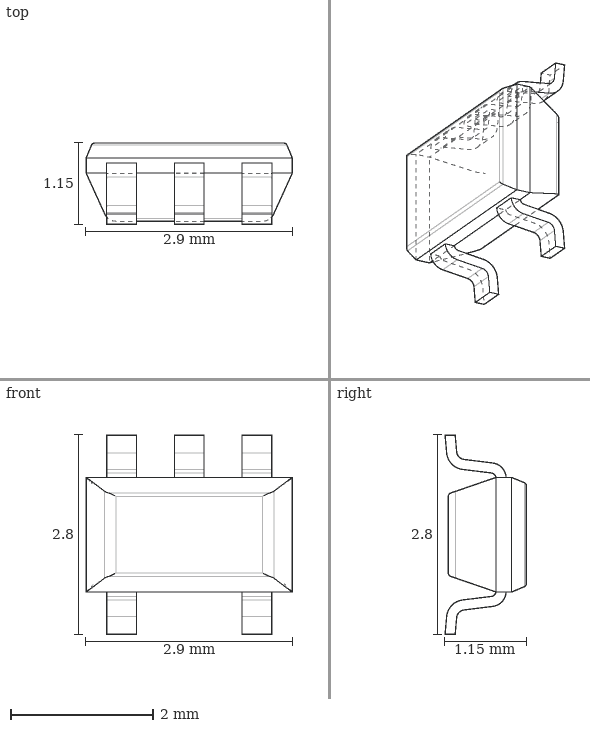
import cadquery as cq
import math


BODY_WIDTH = 2.9
BODY_HEIGHT = 1.615
OVERALL_DEPTH = 1.146
STANDOFF = 0.045
BELT_FRONT = 0.72
BELT_BACK = 0.935
FRONT_SIDE_DRAFT = 24.5
FRONT_END_DRAFT = 19.0
BACK_DRAFT = 22.5
FRONT_SIDE_ROUND = 0.18
FRONT_END_ROUND = 0.055
BACK_ROUND = 0.05

LEAD_SPAN = 2.8
LEAD_WIDTH = 0.42
LEAD_PITCH = 0.95
LEAD_THICKNESS = 0.145
FOOT_LENGTH = 0.25
FOOT_SLOPE = 5.0
ARM_LENGTH = 0.405
ARM_SLOPE = 7.0
FOOT_BEND_RADIUS = 0.115
ROOT_BEND_RADIUS = 0.075
LEAD_EMBED = 0.1

UPPER_LEAD_COLUMNS = (-1, 0, 1)
LOWER_LEAD_COLUMNS = (-1, 1)


def body_prism(plane, belt_size, front_draft, front_round, length):
    """Draw one drafted cross-section of the body and extrude it both ways.

    The first axis of the plane runs across the body, the second along +Y.
    """
    half_belt = belt_size / 2
    half_front = half_belt - (BELT_FRONT - STANDOFF) * math.tan(math.radians(front_draft))
    half_back = half_belt - (OVERALL_DEPTH - BELT_BACK) * math.tan(math.radians(BACK_DRAFT))
    lengthwise = cq.selectors.ParallelDirSelector(plane.zDir)
    right_side = [
        (half_front, STANDOFF),
        (half_belt, BELT_FRONT),
        (half_belt, BELT_BACK),
        (half_back, OVERALL_DEPTH),
    ]
    left_side = [(-across, y) for across, y in reversed(right_side)]
    prism = cq.Workplane(plane).polyline(right_side + left_side).close().extrude(length / 2, both=True)
    prism = prism.faces("<Y").edges(lengthwise).fillet(front_round)
    return prism.faces(">Y").edges(lengthwise).fillet(BACK_ROUND)


def make_body():
    """The body is what the X-Y and Z-Y prisms share, so its rounds meet in mitres."""
    side_plane = cq.Plane(origin=(0, 0, 0), xDir=(1, 0, 0), normal=(0, 0, 1))
    end_plane = cq.Plane(origin=(0, 0, 0), xDir=(0, 0, 1), normal=(-1, 0, 0))
    side_prism = body_prism(side_plane, BODY_WIDTH, FRONT_SIDE_DRAFT, FRONT_SIDE_ROUND, BODY_HEIGHT)
    end_prism = body_prism(end_plane, BODY_HEIGHT, FRONT_END_DRAFT, FRONT_END_ROUND, BODY_WIDTH)
    return side_prism.intersect(end_prism)


def shifted(point, distance, degrees):
    """Move a (Y, Z) point along a direction measured from +Y towards +Z."""
    angle = math.radians(degrees)
    return (point[0] + distance * math.cos(angle), point[1] + distance * math.sin(angle))


def make_upper_lead(x_center):
    """Gull-wing lead: foot, foot bend, sloping arm, root bend, buried root."""
    foot_outer = FOOT_BEND_RADIUS + LEAD_THICKNESS
    root_outer = ROOT_BEND_RADIUS + LEAD_THICKNESS

    foot_inward = FOOT_SLOPE - 90
    foot_to_outside = 180 + FOOT_SLOPE
    arm_inward = -ARM_SLOPE
    arm_down = 270 - ARM_SLOPE
    arm_up = 90 - ARM_SLOPE
    root_to_back = 0
    foot_bend_middle = (foot_to_outside + arm_down) / 2
    root_bend_middle = (arm_up + root_to_back) / 2

    tip_outside = (0, LEAD_SPAN / 2)
    tip_inside = (LEAD_THICKNESS / math.cos(math.radians(FOOT_SLOPE)), LEAD_SPAN / 2)
    foot_end = shifted(tip_outside, FOOT_LENGTH, foot_inward)
    foot_center = shifted(foot_end, -foot_outer, foot_to_outside)
    arm_end = shifted(foot_center, ARM_LENGTH, arm_inward)
    root_center = shifted(arm_end, foot_outer + ROOT_BEND_RADIUS, arm_down)

    root_front = shifted(root_center, ROOT_BEND_RADIUS, root_to_back)
    root_back = shifted(root_center, root_outer, root_to_back)

    profile = (
        cq.Workplane("YZ", origin=(x_center, 0, 0))
        .moveTo(*tip_outside)
        .lineTo(*foot_end)
        .threePointArc(
            shifted(foot_center, foot_outer, foot_bend_middle),
            shifted(foot_center, foot_outer, arm_down),
        )
        .lineTo(*shifted(root_center, ROOT_BEND_RADIUS, arm_up))
        .threePointArc(shifted(root_center, ROOT_BEND_RADIUS, root_bend_middle), root_front)
        .lineTo(*shifted(root_front, LEAD_EMBED, -90))
        .lineTo(*shifted(root_back, LEAD_EMBED, -90))
        .lineTo(*root_back)
        .threePointArc(
            shifted(root_center, root_outer, root_bend_middle),
            shifted(root_center, root_outer, arm_up),
        )
        .lineTo(*shifted(foot_center, FOOT_BEND_RADIUS, arm_down))
        .threePointArc(
            shifted(foot_center, FOOT_BEND_RADIUS, foot_bend_middle),
            shifted(foot_center, FOOT_BEND_RADIUS, foot_to_outside),
        )
        .lineTo(*tip_inside)
        .close()
    )
    return profile.extrude(LEAD_WIDTH / 2, both=True)


result = make_body()
for column in UPPER_LEAD_COLUMNS:
    result = result.union(make_upper_lead(column * LEAD_PITCH))
for column in LOWER_LEAD_COLUMNS:
    result = result.union(make_upper_lead(column * LEAD_PITCH).mirror("XY"))